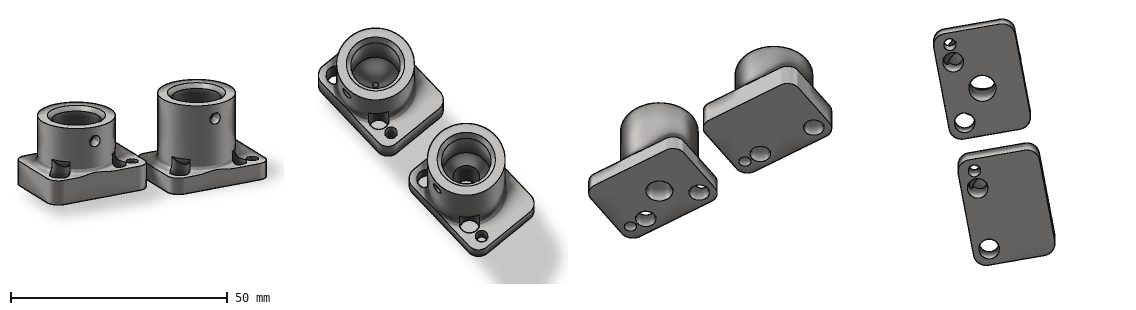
import cadquery as cq

total_length = 57.45
plate_width = 19.1
plate_length = 25.75
corner_radius = 3.0
plate_pitch = total_length - plate_length

top_z = 20.5
barrel_radius = 18.0 / 2
barrel_x = 0.2
front_margin = 2.25
barrel_y = front_margin + barrel_radius - plate_length / 2
root_fillet = 1.5

bore_radius = 11.4 / 2
mouth_radius = 13.45 / 2
mouth_depth = 1.05
bore_depth = 9.75
cone_slope = 0.6

screw_radius = 4.7 / 2
screw_x = 5.5
screw_y = 7.4
screw_roof_height = 3.3
pin_radius = 2.8 / 2
pin_y = 11.65
side_hole_radius = 2.7 / 2
side_hole_depth = 3.5

tall_plate_thickness = 4.0
short_plate_thickness = 6.0
short_base_z = 3.0
through_radius = 6.2 / 2
tip_radius = 1.3 / 2


def make_plate(base_z, thickness):
    """Rounded plate, centred on the local origin in X and Y."""
    return (
        cq.Workplane("XY", origin=(0, 0, base_z))
        .rect(plate_width, plate_length)
        .extrude(thickness)
        .edges("|Z")
        .fillet(corner_radius)
    )


def revolve_about_barrel(profile):
    """Turn an XZ half-profile about Z and move it onto the barrel axis."""
    return profile.close().revolve(360, (0, 0, 0), (0, 1, 0)).translate((barrel_x, barrel_y, 0))


def make_barrel(base_z, plate_top):
    """Barrel with a concave root fillet, trimmed to the plate outline."""
    arc_offset = root_fillet * (1 - 0.5 ** 0.5)
    profile = (
        cq.Workplane("XZ")
        .moveTo(0, base_z)
        .lineTo(barrel_radius + root_fillet, base_z)
        .lineTo(barrel_radius + root_fillet, plate_top)
        .threePointArc(
            (barrel_radius + arc_offset, plate_top + arc_offset),
            (barrel_radius, plate_top + root_fillet),
        )
        .lineTo(barrel_radius, top_z)
        .lineTo(0, top_z)
    )
    return revolve_about_barrel(profile).intersect(make_plate(base_z, top_z - base_z))


def make_bore(floor_radius, floor_z):
    """Chamfered bore, tapering to floor_radius and continuing down to floor_z."""
    cone_top = top_z - bore_depth
    cone_bottom = cone_top - cone_slope * (bore_radius - floor_radius)
    profile = (
        cq.Workplane("XZ")
        .moveTo(0, top_z)
        .lineTo(mouth_radius, top_z)
        .lineTo(bore_radius, top_z - mouth_depth)
        .lineTo(bore_radius, cone_top)
        .lineTo(floor_radius, cone_bottom)
    )
    if floor_z < cone_bottom:
        profile = profile.lineTo(floor_radius, floor_z).lineTo(0, floor_z)
    else:
        profile = profile.lineTo(0, cone_bottom)
    return revolve_about_barrel(profile)


def make_screw_holes(base_z, plate_top):
    """Screw holes that undercut the barrel below a 45 degree conical roof."""
    roof_z = plate_top + screw_roof_height
    holes = (
        cq.Workplane("XY", origin=(barrel_x, barrel_y, base_z))
        .pushPoints([(screw_x, -screw_y), (screw_x, screw_y)])
        .circle(screw_radius)
        .extrude(roof_z - base_z)
    )
    barrel_above_roof = revolve_about_barrel(
        cq.Workplane("XZ")
        .moveTo(0, roof_z - barrel_radius)
        .lineTo(barrel_radius, roof_z)
        .lineTo(0, roof_z)
    )
    return holes.cut(barrel_above_roof)


def make_pin_hole(base_z, plate_top):
    """Small hole through the plate beside the barrel."""
    return (
        cq.Workplane("XY", origin=(barrel_x + screw_x, barrel_y + pin_y, base_z))
        .circle(pin_radius)
        .extrude(plate_top - base_z)
    )


def make_side_hole():
    """Radial hole through the +X wall of the barrel."""
    return (
        cq.Workplane("YZ", origin=(barrel_x, barrel_y, top_z - side_hole_depth))
        .circle(side_hole_radius)
        .extrude(plate_width)
    )


def make_socket(base_z, plate_thickness, bore, centre_y):
    """One socket: plate and barrel with all holes, moved to its place along Y."""
    plate_top = base_z + plate_thickness
    return (
        make_plate(base_z, plate_thickness)
        .union(make_barrel(base_z, plate_top))
        .cut(bore)
        .cut(make_screw_holes(base_z, plate_top))
        .cut(make_pin_hole(base_z, plate_top))
        .cut(make_side_hole())
        .translate((0, centre_y, 0))
    )


tall_socket = make_socket(0, tall_plate_thickness, make_bore(through_radius, 0), plate_pitch / 2)

short_socket = make_socket(
    short_base_z, short_plate_thickness, make_bore(tip_radius, top_z), -plate_pitch / 2
)

result = cq.Compound.makeCompound([tall_socket.val(), short_socket.val()])